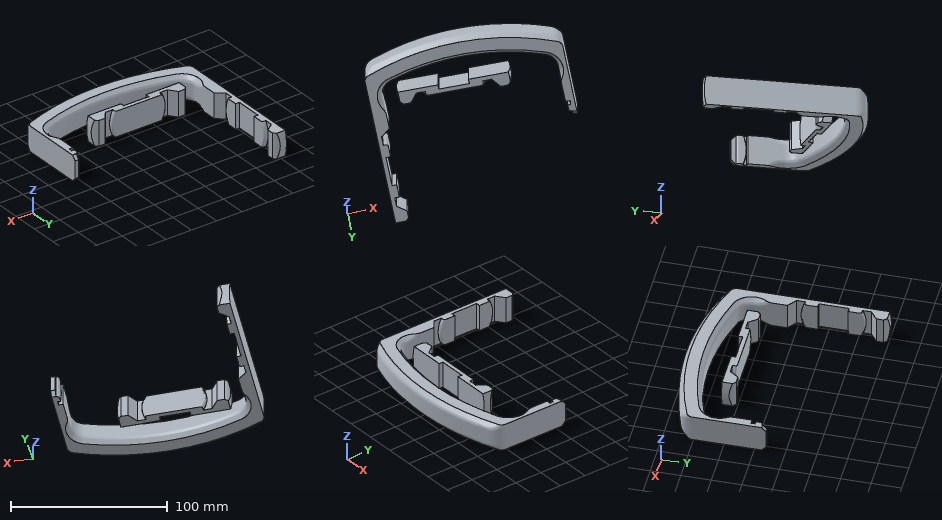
import cadquery as cq
import math

WIDTH = 128.7
DEPTH = 119.9
HEIGHT = 19.0
TOP = HEIGHT / 2
THICKNESS = 9.0
STEP = THICKNESS / 3

BAR_RADIUS = 170.2
BAR_DEPTH = 15.2
INNER_RADIUS = BAR_RADIUS - BAR_DEPTH
CORNER_RADIUS = 10.0
BEVEL = 3.3
BEVEL_ROUND = 2.8

FLAT_TOLERANCE = 0.01

CLIP_HALF = 37.0
HOOK_TOP_END = 33.8
HOOK_TOP_START = 29.1
GROOVE_END = 24.5
TAB_END = 21.1
SLOT_HALF = 9.9
HOOK_SHOULDER = 5.0
HOOK_NOSE_BULGE = 0.3
TIP_BOW = 1.2
TAB_BOW = 2.5
TAB_ROUND = 1.2

LONG_CLIP_Y = DEPTH - CLIP_HALF
LINK_X = -9.1
LINK_Y = 29.9

SHORT_ARM_THICKNESS = 2 * STEP
SHORT_ARM_SHOULDER = 57.1
TONGUE_END = 67.5
TONGUE_BEVEL = 3.0
LATCH_HEIGHT = 2.0
LATCH_START = 57.6
LATCH_END = 64.3
LATCH_BOW = 2.0
LATCH_NOSE_ROUND = 1.9
LATCH_HEEL_ROUND = 0.8

LEFT = -WIDTH / 2
RIGHT = WIDTH / 2
LONG_ARM_INNER = LEFT + THICKNESS
SHORT_ARM_INNER = RIGHT - SHORT_ARM_THICKNESS
TONGUE_INNER = RIGHT - STEP


def extrude_plan(sketch):
    """Extrude a plan outline over the full height, centred on Z = 0."""
    return sketch.close().extrude(TOP, both=True)


def bowed_block(start, end, start_bow, end_bow, low, high):
    """Block along X whose ends bulge outwards along Z; low and high bound it in Y."""
    block = cq.Workplane("XZ", origin=(0, high, 0)).moveTo(start + start_bow, -TOP)
    block = block.lineTo(end - end_bow, -TOP)
    if end_bow:
        block = block.threePointArc((end, 0), (end - end_bow, TOP))
    else:
        block = block.lineTo(end, TOP)
    block = block.lineTo(start + start_bow, TOP)
    if start_bow:
        block = block.threePointArc((start, 0), (start + start_bow, -TOP))
    return block.close().extrude(high - low)


def hook():
    """Hook at the +X end of a clip, with its back face on Y = 0."""
    nose_middle = (
        (HOOK_TOP_END + CLIP_HALF) / 2 + HOOK_NOSE_BULGE,
        (THICKNESS + HOOK_SHOULDER) / 2 + HOOK_NOSE_BULGE,
    )
    outline = (
        cq.Workplane("XY")
        .moveTo(0, 0)
        .lineTo(CLIP_HALF, 0)
        .lineTo(CLIP_HALF, HOOK_SHOULDER)
        .threePointArc(nose_middle, (HOOK_TOP_END, THICKNESS))
        .lineTo(HOOK_TOP_START, THICKNESS)
        .lineTo(GROOVE_END, STEP)
        .lineTo(0, STEP)
    )
    return extrude_plan(outline).intersect(bowed_block(0, CLIP_HALF, 0, TIP_BOW, 0, THICKNESS))


def tab(start):
    """Raised tab from start to the bowed and rounded tab end, on top of the strip."""
    block = bowed_block(start, TAB_END, 0, TAB_BOW, STEP, 2 * STEP)
    rounded_edge = cq.selectors.NearestToPointSelector((TAB_END, 2 * STEP, 0))
    return block.edges(rounded_edge).fillet(TAB_ROUND)


def both_ways(half):
    """A half clip together with its mirror image."""
    return half.union(half.mirror("YZ"))


def make_link():
    slot = cq.Workplane("XY").box(2 * SLOT_HALF, 2 * STEP, HEIGHT)
    link = both_ways(hook().union(tab(0))).cut(slot)
    return link.translate((LINK_X, LINK_Y, 0))


def bar_corner(arc_radius, wall_x):
    """Round between the wall at wall_x and a crossbar arc.

    Returns its centre and its points on the wall, half way round and on the arc.
    """
    side = math.copysign(1, wall_x)
    centre_x = wall_x - side * CORNER_RADIUS
    drop = math.sqrt((arc_radius - CORNER_RADIUS) ** 2 - centre_x ** 2)
    centre_y = BAR_RADIUS - drop
    arc_angle = math.atan2(-drop, abs(centre_x))

    def point(angle):
        return (
            centre_x + side * CORNER_RADIUS * math.cos(angle),
            centre_y + CORNER_RADIUS * math.sin(angle),
        )

    return (centre_x, centre_y), point(0), point(arc_angle / 2), point(arc_angle)


def frame_blank():
    """U-shaped plan of the frame, without clip details and bevels."""
    _, outer_left_wall, outer_left_mid, outer_left_arc = bar_corner(BAR_RADIUS, LEFT)
    _, outer_right_wall, outer_right_mid, outer_right_arc = bar_corner(BAR_RADIUS, RIGHT)
    _, inner_left_wall, inner_left_mid, inner_left_arc = bar_corner(INNER_RADIUS, LONG_ARM_INNER)
    _, inner_right_wall, inner_right_mid, inner_right_arc = bar_corner(INNER_RADIUS, SHORT_ARM_INNER)
    hook_foot = LONG_CLIP_Y - GROOVE_END
    hook_top = LONG_CLIP_Y - HOOK_TOP_START
    outline = (
        cq.Workplane("XY")
        .moveTo(LEFT, LONG_CLIP_Y)
        .lineTo(*outer_left_wall)
        .threePointArc(outer_left_mid, outer_left_arc)
        .threePointArc((0, 0), outer_right_arc)
        .threePointArc(outer_right_mid, outer_right_wall)
        .lineTo(RIGHT, SHORT_ARM_SHOULDER)
        .lineTo(SHORT_ARM_INNER, SHORT_ARM_SHOULDER)
        .lineTo(*inner_right_wall)
        .threePointArc(inner_right_mid, inner_right_arc)
        .threePointArc((0, BAR_DEPTH), inner_left_arc)
        .threePointArc(inner_left_mid, inner_left_wall)
        .lineTo(LONG_ARM_INNER, hook_top)
        .lineTo(LEFT + STEP, hook_foot)
        .lineTo(LEFT + STEP, LONG_CLIP_Y)
    )
    return extrude_plan(outline)


def bevel_cutter(centre, radius, outward, start_angle=0, sweep=360):
    """Ring that bevels the upper and lower edge of an upright round face.

    outward is 1 for a face on the outside of its material and -1 for a hollow face.
    Angles are in degrees about the upright axis through centre, from +X.
    """
    profile = (
        cq.Workplane("XZ")
        .moveTo(radius - outward * BEVEL, TOP)
        .lineTo(radius + outward * BEVEL, TOP)
        .lineTo(radius + outward * BEVEL, TOP - 2 * BEVEL)
        .close()
    )
    upper = profile.revolve(sweep, (0, 0, 0), (0, 1, 0))
    ring = upper.union(upper.mirror("XY"))
    return ring.rotate((0, 0, 0), (0, 0, 1), start_angle).translate((*centre, 0))


def is_bevel_crest(edge):
    """True for the curved edges where a bevel meets an upright face."""
    return edge.geomType() != "LINE" and abs(edge.Center().z) < TOP - FLAT_TOLERANCE


def long_arm_clip():
    """Outer half of the clip and both tabs on the long arm, in place."""
    upper_tab = tab(SLOT_HALF)
    clip = hook().union(upper_tab).union(upper_tab.mirror("YZ"))
    return clip.mirror("XZ").rotate((0, 0, 0), (0, 0, 1), 90).translate((LEFT, LONG_CLIP_Y, 0))


def short_arm_end():
    """Bevelled tongue with a rounded, bowed latch on its inner face."""
    tongue = (
        cq.Workplane("XY")
        .box(STEP, TONGUE_END - SHORT_ARM_SHOULDER, HEIGHT, centered=(False, False, True))
        .translate((TONGUE_INNER, SHORT_ARM_SHOULDER, 0))
        .edges(">Y and |X")
        .chamfer(TONGUE_BEVEL)
    )
    latch = bowed_block(LATCH_START, LATCH_END, LATCH_BOW, 0, 0, LATCH_HEIGHT)
    nose = cq.selectors.NearestToPointSelector((LATCH_END, LATCH_HEIGHT, 0))
    heel = cq.selectors.NearestToPointSelector((LATCH_START, LATCH_HEIGHT, 0))
    latch = latch.edges(nose).fillet(LATCH_NOSE_ROUND).edges(heel).fillet(LATCH_HEEL_ROUND)
    latch = latch.rotate((0, 0, 0), (0, 0, 1), 90).translate((TONGUE_INNER, 0, 0))
    return tongue.union(latch)


def make_frame():
    axis = (0, BAR_RADIUS)
    frame = frame_blank().cut(bevel_cutter(axis, BAR_RADIUS, 1))
    arc_ends = []
    for wall_x in (LONG_ARM_INNER, SHORT_ARM_INNER):
        centre, _, _, arc_end = bar_corner(INNER_RADIUS, wall_x)
        frame = frame.cut(bevel_cutter(centre, CORNER_RADIUS, -1))
        arc_ends.append(math.degrees(math.atan2(arc_end[1] - BAR_RADIUS, arc_end[0])))
    left_angle, right_angle = arc_ends
    frame = frame.cut(bevel_cutter(axis, INNER_RADIUS, -1, left_angle, right_angle - left_angle))
    frame = frame.edges().filter(is_bevel_crest).fillet(BEVEL_ROUND)
    return frame.union(long_arm_clip()).union(short_arm_end())


frame = make_frame()
link = make_link()
result = cq.Compound.makeCompound([frame.val(), link.val()])